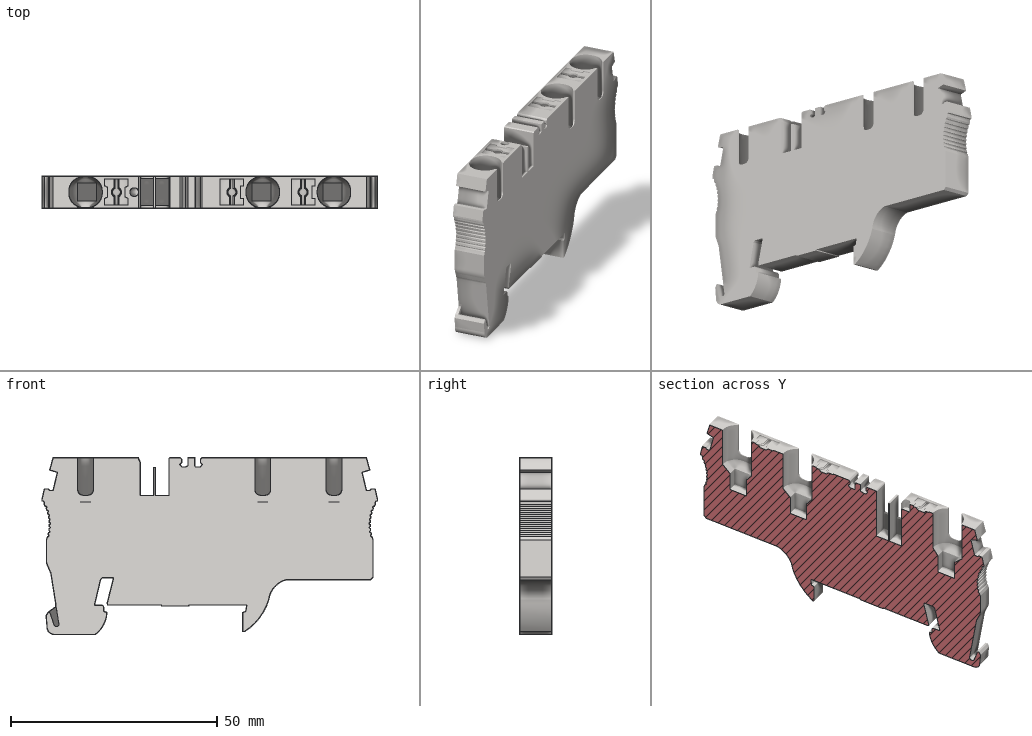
import cadquery as cq
import math

length = 81.4
width = 7.8
height = 42.9
front_y = -width / 2
back_y = width / 2

end_inset = 1.05
grip_bottom_z = 23.0
grip_top = (0.6, 31.5)
grip_mid = (1.7, 27.85)
groove_count = 8
groove_pitch = 1.0
groove_radius = 0.25
groove_start_z = 24.0

rail_z = 7.2
right_floor_z = 13.3
corner_radius = 0.65
pad_start_x, pad_end_x = 29.0, 35.7
pad_depth = 0.25

arm_top = (2.2, 14.6)
arm_foot = (4.15, 2.4)
lip_tip = (1.5, 5.4)
web_thickness = 0.7
web_top_z, web_step_z = 7.4, 6.8

entry_xs = [10.6, 53.6, 70.85]
entry_sides = [1, -1, -1]
entry_length, entry_width = 8.15, 7.5
entry_corner_radius = 3.6
window_width = 3.8
window_bottom_z = 33.8
window_corner_radius = 1.4
funnel_top_z = 32.2
funnel_height = 1.95
funnel_corner_radius = 0.1
funnel_length, funnel_width = 4.6, 4.4
funnel_shift = 0.3
wire_shaft_depth = 4.9

marker_distance = 7.5
marker_length, marker_width = 5.7, 6.35
marker_depth = 0.25
marker_notch_depth = 0.7
marker_notch_outer, marker_notch_inner = 1.55, 1.1
trench_width = 1.1
screw_diameter = 2.45
trench_ledge_depth = 0.5
trench_depth = 0.8
trench_ledge_width = 0.25

peg_diameter = 2.1
peg_x = 22.4
peg_depth = 2.45

slot_left_x, slot_right_x = 23.9, 30.8
slot_floor_z = 33.8
slot_left_chamfer = (0.5, 1.1)
slot_right_chamfer = 0.25
fin_left_x, fin_right_x = 27.0, 27.5
fin_top_z = 40.55
shaft_wall = 0.65
shaft_depth = 4.9

label_depth = 2.2
label_chamfer = 0.4
label_undercut = 0.5
undercut_top, undercut_side = 1.6, 1.2


def mirror_x(points):
    """Mirror X-Z points to the other end, reversing their order."""
    return [(length - x, z) for x, z in reversed(points)]


def arm_x(z):
    """X of the straight outer edge of the foot arm at height z."""
    slope = (arm_foot[0] - arm_top[0]) / (arm_foot[1] - arm_top[1])
    return arm_top[0] + slope * (z - arm_top[1])


def prism(outline, y_start=front_y, y_end=back_y):
    """Extrude a closed X-Z outline between two Y positions."""
    return outline.extrude(y_start - y_end).translate((0, y_start, 0))


def block(x_range, y_range, z_range):
    """Box between pairs of limits."""
    sizes = [high - low for low, high in (x_range, y_range, z_range)]
    corner = (x_range[0], y_range[0], z_range[0])
    return cq.Workplane("XY").box(*sizes, centered=False).translate(corner)


def polygon(points):
    return cq.Workplane("XZ").polyline(points).close()


left_end = [
    (0.5, 32.3),
    (0.0, 32.4),
    (0.0, 32.8),
    (0.6, 35.35),
    (1.55, 35.35),
    (1.9, 35.0),
    (2.7, 35.0),
    (3.75, 39.3),
    (1.9, 39.9),
    (2.7, height),
]
right_end = mirror_x(left_end)
grip_bottom = (end_inset, grip_bottom_z)
right_grip_mid, right_grip_top, right_grip_bottom = mirror_x([grip_bottom, grip_top, grip_mid])


def make_body():
    outline = (
        cq.Workplane("XZ")
        .moveTo(*grip_bottom)
        .threePointArc(grip_mid, grip_top)
    )
    for point in left_end + right_end + [right_grip_top]:
        outline = outline.lineTo(*point)
    outline = (
        outline.threePointArc(right_grip_mid, right_grip_bottom)
        .lineTo(length - end_inset, right_floor_z + corner_radius)
        .lineTo(length - end_inset - corner_radius, right_floor_z)
        .lineTo(59.3, right_floor_z)
        .threePointArc((56.6, 11.7), (55.05, 8.5))
        .threePointArc((53.1, 4.5), (49.2, 0.7))
        .lineTo(48.7, 0.7)
        .lineTo(48.7, 5.4)
        .lineTo(49.4, 5.6)
        .lineTo(49.7, rail_z)
        .lineTo(pad_end_x, rail_z)
        .lineTo(pad_end_x, rail_z - pad_depth)
        .lineTo(pad_start_x, rail_z - pad_depth)
        .lineTo(pad_start_x, rail_z)
        .lineTo(16.0, rail_z)
        .lineTo(15.8, 7.6)
        .lineTo(17.3, 13.35)
        .lineTo(17.3, 13.8)
        .lineTo(14.65, 13.8)
        .lineTo(14.25, 13.35)
        .lineTo(12.8, rail_z)
        .lineTo(14.6, rail_z)
        .lineTo(15.0, 6.85)
        .lineTo(15.1, 5.6)
        .lineTo(15.8, 5.4)
        .threePointArc((14.8, 2.1), (12.95, 0.0))
        .lineTo(3.0, 0.0)
        .threePointArc((1.8, 0.5), (1.2, 2.0))
        .lineTo(1.0, 4.6)
        .lineTo(*lip_tip)
        .lineTo(arm_x(web_top_z), web_step_z)
        .lineTo(arm_x(web_top_z), web_top_z)
        .lineTo(*arm_top)
        .threePointArc((2.1, 15.0), (1.95, 15.3))
        .lineTo(1.5, 16.5)
        .threePointArc((1.1, 17.35), (end_inset, 18.25))
        .close()
    )
    return prism(outline)


def make_arm_slot():
    """Slot between the foot lip and the arm, closed at the back by a thin web."""
    outline = (
        cq.Workplane("XZ")
        .moveTo(*lip_tip)
        .lineTo(1.95, 5.3)
        .lineTo(2.9, arm_foot[1])
        .threePointArc((3.6, 1.95), arm_foot)
        .lineTo(*arm_top)
        .close()
    )
    return prism(outline, front_y, back_y - web_thickness)


def grip_circle():
    """Center and radius of the arc through the three grip points."""
    (x1, z1), (x2, z2), (x3, z3) = grip_bottom, grip_mid, grip_top
    det = 2 * (x1 * (z2 - z3) + x2 * (z3 - z1) + x3 * (z1 - z2))
    s1, s2, s3 = x1**2 + z1**2, x2**2 + z2**2, x3**2 + z3**2
    center_x = (s1 * (z2 - z3) + s2 * (z3 - z1) + s3 * (z1 - z2)) / det
    center_z = (s1 * (x3 - x2) + s2 * (x1 - x3) + s3 * (x2 - x1)) / det
    return center_x, center_z, math.hypot(x1 - center_x, z1 - center_z)


def make_grip_grooves():
    """Row of round finger grooves following the grip arc on both ends."""
    center_x, center_z, radius = grip_circle()
    zs = [groove_start_z + i * groove_pitch for i in range(groove_count)]
    left = [(center_x + math.sqrt(radius**2 - (z - center_z) ** 2), z) for z in zs]
    return prism(cq.Workplane("XZ").pushPoints(left + mirror_x(left)).circle(groove_radius))


def make_wire_entry(x, side):
    """Nearly round bore with a front window, narrowing through a funnel to a rectangular shaft."""
    rim = cq.Sketch().rect(entry_length, entry_width).vertices().fillet(entry_corner_radius)
    throat = cq.Sketch().rect(funnel_length, funnel_width).vertices().fillet(funnel_corner_radius)
    throat_offset = cq.Location(cq.Vector(side * funnel_shift, 0, -funnel_height))
    rim_plane = cq.Workplane("XY", origin=(x, 0, funnel_top_z))
    bore = rim_plane.placeSketch(rim).extrude(height - funnel_top_z)
    funnel = rim_plane.placeSketch(rim, throat.moved(throat_offset)).loft(ruled=True)
    shaft = (
        rim_plane.workplane(offset=-funnel_height)
        .center(side * funnel_shift, 0)
        .rect(funnel_length, funnel_width)
        .extrude(-wire_shaft_depth)
    )
    window_x = (x - window_width / 2, x + window_width / 2)
    window = block(window_x, (front_y, 0), (window_bottom_z, height))
    window = window.edges("|Y and <Z").fillet(window_corner_radius)
    return bore.union(funnel).union(shaft).union(window)


def make_marker(x, side, peg_notch):
    """Shallow notched recess with a stepped cross trench and a round stepped screw seat.

    The edge near the wire entry always has a notch. With a peg notch, both edges have a
    tapered notch; without one, the single notch is square.
    """
    near = -marker_length / 2
    far = marker_length / 2
    half_width = marker_width / 2

    def notch(edge_x, inward, bottom_half_width):
        depth_x = edge_x + inward * marker_notch_depth
        return [
            (edge_x, -marker_notch_outer),
            (depth_x, -bottom_half_width),
            (depth_x, bottom_half_width),
            (edge_x, marker_notch_outer),
        ]

    near_notch_bottom = marker_notch_inner if peg_notch else marker_notch_outer
    points = [(near, -half_width)] + notch(near, 1, near_notch_bottom)
    points += [(near, half_width), (far, half_width)]
    if peg_notch:
        points += notch(far, -1, marker_notch_inner)[::-1]
    points.append((far, -half_width))
    points = [(side * px, py) for px, py in points]

    plane = cq.Workplane("XY", origin=(x, 0, height))
    marker = plane.polyline(points).close().extrude(-marker_depth)
    for inset, depth in ((0, trench_ledge_depth), (trench_ledge_width, trench_depth)):
        trench = plane.rect(trench_width - 2 * inset, marker_width).extrude(-depth)
        screw_seat = plane.circle(screw_diameter / 2 - inset).extrude(-depth)
        marker = marker.union(trench).union(screw_seat)
    return marker


def make_peg_hole():
    return cq.Workplane("XY", origin=(peg_x, 0, height)).circle(peg_diameter / 2).extrude(-peg_depth)


def make_bridge_slot():
    """Cross slot with a standing fin and a walled shaft on each side of the fin."""
    chamfer_x, chamfer_z = slot_left_chamfer
    slot = prism(
        polygon(
            [
                (slot_left_x - chamfer_x, height),
                (slot_left_x, height - chamfer_z),
                (slot_left_x, slot_floor_z),
                (slot_right_x, slot_floor_z),
                (slot_right_x, height - slot_right_chamfer),
                (slot_right_x + slot_right_chamfer, height),
            ]
        )
    )
    slot = slot.cut(block((fin_left_x, fin_right_x), (front_y, back_y), (slot_floor_z, fin_top_z)))
    shaft_y = (front_y + shaft_wall, back_y - shaft_wall)
    for x_range in ((slot_left_x, fin_left_x), (fin_right_x, slot_right_x)):
        slot = slot.union(block(x_range, shaft_y, (slot_floor_z - shaft_depth, slot_floor_z)))
    return slot


def make_label_groove(plain_x, undercut_x, foot_bevel):
    """Cross groove with one chamfered, undercut wall and one plain wall.

    The foot bevel is the width and height of the slope where the plain wall meets the floor.
    """
    outward = math.copysign(1, undercut_x - plain_x)
    floor_z = height - label_depth
    return prism(
        polygon(
            [
                (plain_x, height),
                (plain_x, floor_z + foot_bevel[1]),
                (plain_x + outward * foot_bevel[0], floor_z),
                (undercut_x, floor_z),
                (undercut_x + outward * label_undercut, height - undercut_top),
                (undercut_x, height - undercut_side),
                (undercut_x, height - label_chamfer),
                (undercut_x + outward * label_chamfer, height),
            ]
        )
    )


result = make_body().cut(make_arm_slot()).cut(make_grip_grooves())
for entry_x, entry_side in zip(entry_xs, entry_sides):
    result = result.cut(make_wire_entry(entry_x, entry_side))
    marker_x = entry_x + entry_side * marker_distance
    result = result.cut(make_marker(marker_x, entry_side, peg_notch=entry_side > 0))
result = result.cut(make_peg_hole()).cut(make_bridge_slot())
result = result.cut(make_label_groove(35.4, 34.0, foot_bevel=(0.6, 0.25)))
result = result.cut(make_label_groove(37.1, 38.4, foot_bevel=(0.1, 0.25)))